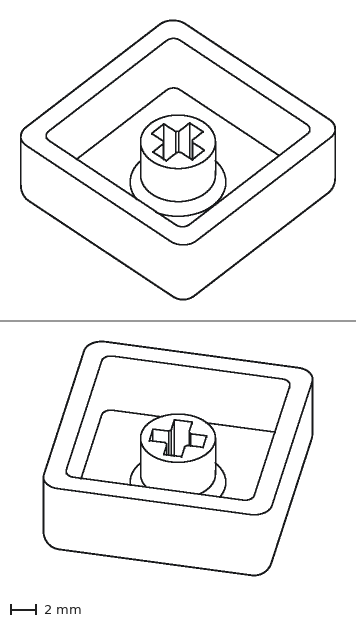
import cadquery as cq
import math

extent = 18.25
height = 6.9
turn = 0.8
corner_radius = 1.4
bottom_fillet = corner_radius

wall = 1.59
floor_thickness = 1.42
cavity_corner_radius = 0.73

stem_diameter = 5.8
foot_diameter = 7.41
foot_height = (foot_diameter - stem_diameter) / 2
stem_drop = 1.02
stem_height = height - floor_thickness - stem_drop
cross_length = 4.23
cross_width = 1.4
cross_inner_chamfer = 0.18

turn_angle = math.radians(turn)
corner_spacing = (extent - 2 * corner_radius) / (math.cos(turn_angle) + math.sin(turn_angle))
side = corner_spacing + 2 * corner_radius


def make_cup():
    cup = cq.Workplane("XY").rect(side, side).extrude(height)
    cup = cup.edges("|Z").fillet(corner_radius)
    cup = cup.faces("<Z").edges().fillet(bottom_fillet)

    cavity_side = side - 2 * wall
    cavity = (
        cq.Workplane("XY", origin=(0, 0, floor_thickness))
        .rect(cavity_side, cavity_side)
        .extrude(height - floor_thickness)
        .edges("|Z")
        .fillet(cavity_corner_radius)
    )
    return cup.cut(cavity).rotate((0, 0, 0), (0, 0, 1), -turn)


def make_stem():
    stem_radius = stem_diameter / 2
    profile = [
        (0, 0),
        (foot_diameter / 2, 0),
        (stem_radius, foot_height),
        (stem_radius, stem_height),
        (0, stem_height),
    ]
    stem = cq.Workplane("XZ").polyline(profile).close().revolve(360, (0, 0), (0, 1))
    return stem.translate((0, 0, floor_thickness))


def make_socket():
    base = cq.Workplane("XY", origin=(0, 0, floor_thickness))
    arm_x = base.rect(cross_length, cross_width).extrude(stem_height)
    arm_y = base.rect(cross_width, cross_length).extrude(stem_height)

    diamond_reach = cross_width + cross_inner_chamfer
    diamond = base.polyline([
        (diamond_reach, 0),
        (0, diamond_reach),
        (-diamond_reach, 0),
        (0, -diamond_reach),
    ]).close().extrude(stem_height)
    return arm_x.union(arm_y).union(diamond)


result = make_cup().union(make_stem()).cut(make_socket())